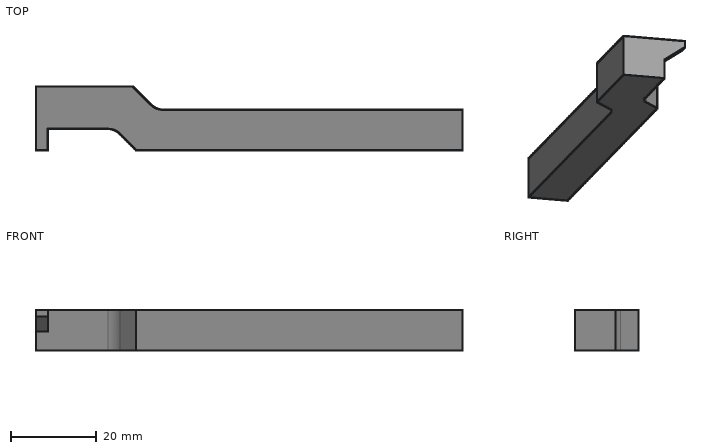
import cadquery as cq
import math

length = 100.0
width = 15.0
height = 9.53

shank_width = 9.53
head_front = 5.0
crank_angle = 45.0
crank_front_end = 23.5
crank_back_start = 22.7
bend_radius = 4.0

tip_length = 2.8
tip_edge_height = 1.5
tip_relief_angle = 35.0


def make_bar():
    """Cranked bar of full height, with both inside bends rounded."""
    run_per_rise = 1 / math.tan(math.radians(crank_angle))
    crank_front_start = crank_front_end - head_front * run_per_rise
    crank_back_end = crank_back_start + (width - shank_width) * run_per_rise
    front_bend = (crank_front_start, head_front)
    back_bend = (crank_back_end, shank_width)

    bar = (
        cq.Workplane("XY")
        .moveTo(0, head_front)
        .lineTo(*front_bend)
        .lineTo(crank_front_end, 0)
        .lineTo(length, 0)
        .lineTo(length, shank_width)
        .lineTo(*back_bend)
        .lineTo(crank_back_start, width)
        .lineTo(0, width)
        .close()
        .extrude(height)
    )
    for x, y in (front_bend, back_bend):
        bend_edge = cq.selectors.NearestToPointSelector((x, y, height / 2))
        bar = bar.edges("|Z").edges(bend_edge).fillet(bend_radius)
    return bar


def make_tip():
    """Tip flush with the top face, its underside sloping down toward the head."""
    tip_root_height = tip_edge_height + head_front * math.tan(math.radians(tip_relief_angle))
    return (
        cq.Workplane("YZ")
        .moveTo(0, height)
        .lineTo(head_front, height)
        .lineTo(head_front, height - tip_root_height)
        .lineTo(0, height - tip_edge_height)
        .close()
        .extrude(tip_length)
    )


result = make_bar().union(make_tip())